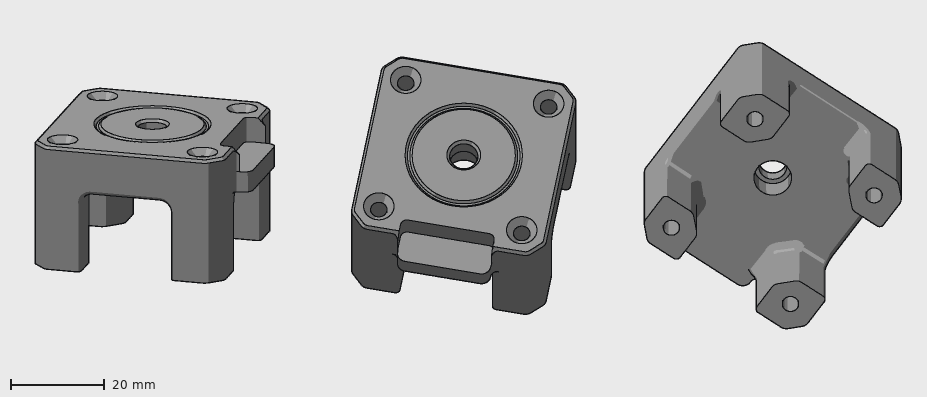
import cadquery as cq

body_width = 42.22
body_height = 27.5
corner_cut = 3.3
corner_radius = 2.0
top_chamfer = 0.6

slot_width = 20.0
slot_height = 17.5
slot_radius = 2.5
slot_edge_radius = 1.0
leg_inner_cut = 3.75
leg_inner_radius = corner_radius

tab_width = 20.2
tab_reach = 3.55
tab_bottom = slot_height
tab_top = 22.0
tab_corner_radius = 2.0
tab_root_radius = 1.4
recess_inner_x = 17.6
recess_clearance = 0.05
recess_radius = 1.4

centre_diameter = 6.0
centre_chamfer = 0.6
cover_thickness = 4.0
lower_bore_diameter = 8.0

groove_outer_diameter = 25.0
groove_inner_diameter = 22.0
groove_depth = 0.5

screw_spacing = 31.0
screw_diameter = 3.5
countersink_diameter = 6.5
countersink_angle = 90

half_width = body_width / 2


def make_block():
    """Square block with cut, rounded corners and a chamfered top rim."""
    block = cq.Workplane("XY").rect(body_width, body_width).extrude(body_height)
    block = block.edges("|Z").chamfer(corner_cut)
    block = block.edges("|Z").fillet(corner_radius)
    return block.faces(">Z").chamfer(top_chamfer)


def make_tab():
    """Full-height tab with filleted roots, sloped off in line with the body's top chamfer."""
    tip_x = half_width + tab_reach
    half_tab = tab_width / 2
    root_y = half_tab + tab_root_radius
    root_x = half_width + tab_root_radius
    corner_x = tip_x - tab_corner_radius
    corner_y = half_tab - tab_corner_radius
    tab = (
        cq.Workplane("XY", origin=(0, 0, tab_bottom))
        .moveTo(recess_inner_x, -root_y)
        .lineTo(half_width, -root_y)
        .radiusArc((root_x, -half_tab), tab_root_radius)
        .lineTo(corner_x, -half_tab)
        .radiusArc((tip_x, -corner_y), -tab_corner_radius)
        .lineTo(tip_x, corner_y)
        .radiusArc((corner_x, half_tab), -tab_corner_radius)
        .lineTo(root_x, half_tab)
        .radiusArc((half_width, root_y), tab_root_radius)
        .lineTo(recess_inner_x, root_y)
        .close()
        .extrude(body_height - tab_bottom)
    )
    slope_start_x = half_width - top_chamfer
    slope_run = tip_x - slope_start_x
    slope = (
        cq.Workplane("XZ")
        .moveTo(slope_start_x, body_height)
        .lineTo(tip_x, body_height)
        .lineTo(tip_x, body_height - slope_run)
        .close()
        .extrude(root_y, both=True)
    )
    return tab.cut(slope)


def make_recess():
    """Pocket through the cover's +X edge, down to the top of the tab."""
    length = half_width + tab_reach - recess_inner_x
    recess = (
        cq.Workplane("XY", origin=(recess_inner_x + length / 2, 0, tab_top))
        .rect(length, tab_width + 2 * recess_clearance)
        .extrude(body_height - tab_top)
    )
    return recess.edges("|Z and <X").fillet(recess_radius)


def make_leg_space():
    """Cross-shaped space between the legs, with cut and rounded leg corners and a rounded ceiling."""
    slot_length = body_width + 2 * slot_radius
    cross = (
        cq.Workplane("XY")
        .rect(slot_length, slot_width)
        .extrude(slot_height)
        .union(cq.Workplane("XY").rect(slot_width, slot_length).extrude(slot_height))
    )
    inner_corner = cq.selectors.BoxSelector(
        (-half_width, -half_width, 0), (half_width, half_width, slot_height)
    )
    cross = cross.edges("|Z").edges(inner_corner).chamfer(leg_inner_cut)
    cross = cross.edges("|Z").edges(inner_corner).fillet(leg_inner_radius)
    ceiling_sides = cq.selectors.BoxSelector(
        (-half_width, -half_width, slot_height - slot_radius / 2),
        (half_width, half_width, slot_height + slot_radius / 2),
    )
    return cross.faces(">Z").edges(ceiling_sides).fillet(slot_radius)


def round_slot_mouths(part):
    """Round the slot outline on each of the four outer side faces."""
    reach = slot_width / 2 + slot_edge_radius
    skin = slot_edge_radius / 2
    for angle in range(0, 360, 90):
        turned = part.rotate((0, 0, 0), (0, 0, 1), -angle)
        mouth = cq.selectors.BoxSelector(
            (half_width - skin, -reach, skin), (half_width + skin, reach, slot_height + skin)
        )
        sides = turned.edges(mouth).edges("#X")
        rounded = sides.fillet(slot_edge_radius)
        part = rounded.rotate((0, 0, 0), (0, 0, 1), angle)
    return part


def make_centre_hole():
    """Chamfered hole through the cover, opening into a wider bore below it."""
    radius = centre_diameter / 2
    lower_radius = lower_bore_diameter / 2
    bore_top = body_height - cover_thickness
    return (
        cq.Workplane("XZ")
        .lineTo(lower_radius, 0)
        .lineTo(lower_radius, bore_top)
        .lineTo(radius, bore_top)
        .lineTo(radius, body_height - centre_chamfer)
        .lineTo(radius + centre_chamfer, body_height)
        .lineTo(0, body_height)
        .close()
        .revolve(360, (0, 0, 0), (0, 1, 0))
    )


def make_groove():
    """Ring of trapezoidal section with 45 degree walls."""
    outer = groove_outer_diameter / 2
    inner = groove_inner_diameter / 2
    floor = body_height - groove_depth
    return (
        cq.Workplane("XZ")
        .moveTo(inner, body_height)
        .lineTo(inner + groove_depth, floor)
        .lineTo(outer - groove_depth, floor)
        .lineTo(outer, body_height)
        .close()
        .revolve(360, (0, 0, 0), (0, 1, 0))
    )


def drill_screw_holes(part):
    """Four countersunk holes through the cover and legs."""
    return (
        part.faces(">Z")
        .workplane(origin=(0, 0, body_height))
        .rect(screw_spacing, screw_spacing, forConstruction=True)
        .vertices()
        .cskHole(screw_diameter, countersink_diameter, countersink_angle)
    )


frame = round_slot_mouths(make_block().cut(make_leg_space()))
frame = drill_screw_holes(frame)
frame = frame.cut(make_centre_hole()).cut(make_groove())
result = frame.union(make_tab()).cut(make_recess())